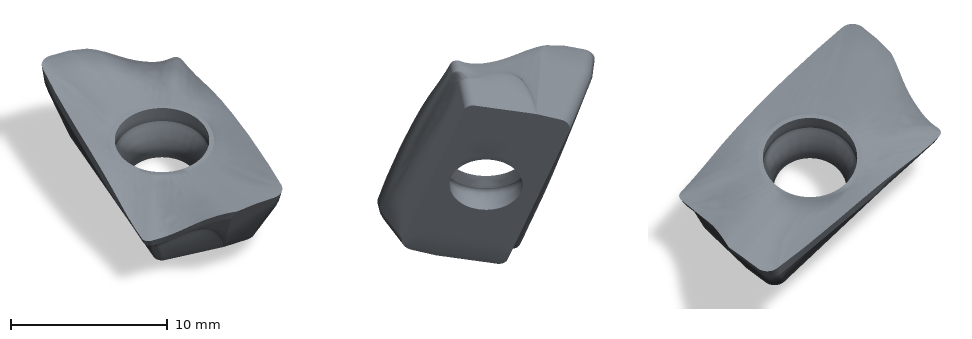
import cadquery as cq
import math

LENGTH = 18.18
WIDTH = 9.73
HEIGHT = 4.8
HALF_LENGTH = LENGTH / 2
HALF_WIDTH = WIDTH / 2

RING_RADIUS = 3.33
RING_Z = 3.64
BORE_RADIUS = 3.02
BORE_DEPTH = 1.13
HOLE_RADIUS = 2.33
HOLE_TOP_Z = 0.65

FLOOR_HALF_LENGTH = 7.22
FLOOR_HALF_WIDTH = 3.49
FLOOR_NOSE_Y = 2.6
FLOOR_NOSE_X = 6.42
FLOOR_HEEL_X = 6.2
FLOOR_HEEL_END = (6.73, -2.98)
CREASE_Y = 0.98
LONG_WALL_SLOPE = 0.29
SHORT_WALL_SLOPE = 0.25
NOSE_WALL_SLOPE = 0.39


def long_wall_point(x, z):
    """Point on the flat long wall at the -Y side."""
    return (x, -(FLOOR_HALF_WIDTH + LONG_WALL_SLOPE * z), z)


def short_wall_point(y, z):
    """Point on the flat relieved facet of the short wall at the +X side."""
    heel_x, heel_y = FLOOR_HEEL_END
    skew = (FLOOR_HALF_LENGTH - heel_x) / (CREASE_Y - heel_y)
    return (heel_x + skew * (y - heel_y) + SHORT_WALL_SLOPE * z, y, z)


def nose_wall_point(y, z):
    """Point on the flat facet of the short wall beside the nose."""
    return (FLOOR_HALF_LENGTH + NOSE_WALL_SLOPE * z, y, z)


def point_between(lower, upper, z):
    """Point at height z on the straight line from lower to upper."""
    fraction = (z - lower[2]) / (upper[2] - lower[2])
    return tuple(a + fraction * (b - a) for a, b in zip(lower, upper))


def turned(point):
    """The matching point after half a turn about Z."""
    x, y, z = point
    return (-x, -y, z)


def line(start, end):
    return cq.Edge.makeLine(cq.Vector(*start), cq.Vector(*end))


def curve(points):
    return cq.Edge.makeSpline([cq.Vector(*p) for p in points])


def corner(start, end, bulge):
    """Arc from start to end whose middle stands `bulge` off the chord, to the right."""
    a, b = cq.Vector(*start), cq.Vector(*end)
    chord = b - a
    outward = cq.Vector(chord.y, -chord.x, 0).normalized()
    middle = (a + b) * 0.5 + outward * bulge
    return cq.Edge.makeThreePointArc(a, middle, b)


def ring_point(degrees):
    angle = math.radians(degrees)
    return (RING_RADIUS * math.cos(angle), RING_RADIUS * math.sin(angle), RING_Z)


def ring_arc(start, end):
    points = [ring_point(a) for a in (start, (start + end) / 2, end)]
    return cq.Edge.makeThreePointArc(*[cq.Vector(*p) for p in points])


def ruled(lower, upper):
    return cq.Face.makeRuledSurface(lower, upper)


def sagged(lower, upper, depth):
    """Point sunk into the -Y side by depth, midway between lower and upper."""
    a, b = cq.Vector(*lower), cq.Vector(*upper)
    rise = b - a
    inward = cq.Vector(0, rise.z, -rise.y).normalized()
    return (a + b) * 0.5 + inward * depth


def hollow(edges, stops=()):
    """Smooth face inside the edges, passing through the stops."""
    return cq.Face.makeNSidedSurface(edges, stops)


def flat(edges):
    return cq.Face.makeFromWires(cq.Wire.assembleEdges(edges))


def half_turn(shape):
    return shape.rotate(cq.Vector(0, 0, 0), cq.Vector(0, 0, 1), 180)



rim_nose_start = (HALF_LENGTH, 3.64, HEIGHT)
rim_nose_end = (8.13, 4.56, HEIGHT)
rim_long = [
    turned(rim_nose_end),
    (-4.18, -4.8, 4.55),
    (0.0, -HALF_WIDTH, 4.2),
    (2.76, -4.85, 3.73),
    (5.49, -4.8, 3.04),
    (7.07, -4.75, 2.85),
]
rim_short = [
    (7.5, -4.24, 2.85),
    (7.55, -3.3, 2.85),
    (7.69, -2.4, 3.09),
    (8.02, -1.13, 3.65),
    (8.5, 0.0, 4.2),
    nose_wall_point(1.07, 4.5),
]
rim_facet_end = nose_wall_point(2.3, 4.75)

root_nose_start = nose_wall_point(3.55, 3.33)

land_nose_start = point_between(root_nose_start, rim_nose_start, 3.64)
land_nose_end = (7.87, 4.53, 3.65)
land_long = [
    turned(land_nose_end),
    (-4.18, -4.67, 3.49),
    (0.0, -4.75, 3.13),
    (2.73, -4.7, 2.76),
    (4.9, -4.62, 2.49),
    (6.82, -4.55, 2.24),
]
land_short = [
    (7.27, -4.09, 2.16),
    (7.29, -3.3, 2.18),
    (7.38, -2.58, 2.35),
    (7.64, -1.67, 2.8),
    (8.22, -0.1, 3.45),
    nose_wall_point(0.8, 3.8),
]

root_nose_end = turned(long_wall_point(-7.69, 2.98))
root_long = [
    turned(root_nose_end),
    long_wall_point(-3.95, 2.98),
    long_wall_point(0.0, 2.47),
    long_wall_point(3.04, 1.98),
    long_wall_point(4.9, 1.8),
    long_wall_point(6.58, 1.67),
]
root_short = [
    short_wall_point(-3.53, 1.89),
    short_wall_point(-2.58, 2.2),
    short_wall_point(-1.67, 2.53),
    short_wall_point(-0.93, 2.58),
    short_wall_point(-0.2, 2.35),
    short_wall_point(0.25, 1.78),
    short_wall_point(0.7, 0.87),
    short_wall_point(CREASE_Y, 0.0),
]

floor_nose_start = nose_wall_point(FLOOR_NOSE_Y, 0.0)
floor_nose_end = (FLOOR_NOSE_X, FLOOR_HALF_WIDTH, 0.0)
floor_heel_start = long_wall_point(FLOOR_HEEL_X, 0.0)
floor_heel_end = (*FLOOR_HEEL_END, 0.0)
floor_crease = root_short[-1]

RIM_NOSE_BULGE = 0.27
LAND_NOSE_BULGE = 0.25
ROOT_NOSE_BULGE = 0.24
FLOOR_NOSE_BULGE = 0.24
RIM_HEEL_BULGE = 0.15
LAND_HEEL_BULGE = 0.13
ROOT_HEEL_BULGE = 0.13
FLOOR_HEEL_BULGE = 0.13

floor = [
    line(turned(floor_nose_end), floor_heel_start),
    corner(floor_heel_start, floor_heel_end, FLOOR_HEEL_BULGE),
    line(floor_heel_end, floor_crease),
    corner(floor_nose_start, floor_nose_end, FLOOR_NOSE_BULGE),
]
root = [
    curve(root_long),
    corner(root_long[-1], root_short[0], ROOT_HEEL_BULGE),
    curve(root_short),
    corner(root_nose_start, root_nose_end, ROOT_NOSE_BULGE),
]
land = [
    curve(land_long),
    corner(land_long[-1], land_short[0], LAND_HEEL_BULGE),
    curve(land_short),
    corner(land_nose_start, land_nose_end, LAND_NOSE_BULGE),
]
rim = [
    curve(rim_long),
    corner(rim_long[-1], rim_short[0], RIM_HEEL_BULGE),
    curve(rim_short),
    corner(rim_nose_start, rim_nose_end, RIM_NOSE_BULGE),
]
rim_facet = line(rim_short[-1], rim_facet_end)
rim_nose_side = line(rim_facet_end, rim_nose_start)
floor_facet = line(floor_crease, floor_nose_start)

NOSE_END_ANGLE = 36.5
HEEL_ANGLES = (-37.0, -33.0)
CREASE_ANGLE = 10.0
FACET_ANGLE = 17.0
NOSE_START_ANGLE = 26.0

ring_stops = [
    NOSE_END_ANGLE - 180,
    *HEEL_ANGLES,
    CREASE_ANGLE,
    FACET_ANGLE,
    NOSE_START_ANGLE,
    NOSE_END_ANGLE,
]
ring = [ring_arc(a, b) for a, b in zip(ring_stops, ring_stops[1:])]
rim_all = rim[:3] + [rim_facet, rim_nose_side, rim[3]]

HOLLOW_DEPTH = 0.1
hollow_stops = [
    sagged(root_point, land_point, HOLLOW_DEPTH)
    for root_point, land_point in zip(root_long[2:-1], land_long[2:-1])
]
heel_sag = sagged(root_long[-1], land_long[-1], HOLLOW_DEPTH)
hollow_end = cq.Edge.makeThreePointArc(cq.Vector(*root_long[-1]), heel_sag, cq.Vector(*land_long[-1]))

faces = [ruled(outer, inner) for outer, inner in zip(rim_all, ring)]
faces += [ruled(lower, upper) for lower, upper in zip(land, rim)]
faces += [ruled(root[i], land[i]) for i in (2, 3)]
faces.append(hollow([
    root[0],
    hollow_end,
    land[0],
    line(root_long[0], land_long[0]),
], hollow_stops))
faces.append(hollow([
    root[1],
    line(root_short[0], land_short[0]),
    land[1],
    hollow_end,
]))
faces += [ruled(floor[i], root[i]) for i in (0, 1, 3)]
faces.append(flat([floor[2], root[2], line(floor_heel_end, root_short[0])]))

facet_diagonal = line(rim_facet_end, root_nose_start)
faces.append(flat([
    floor_facet,
    line(floor_nose_start, root_nose_start),
    facet_diagonal,
    rim_facet,
    line(rim_short[-1], land_short[-1]),
    line(land_short[-1], floor_crease),
]))
faces.append(flat([
    facet_diagonal,
    rim_nose_side,
    line(rim_nose_start, land_nose_start),
    line(land_nose_start, root_nose_start),
]))

faces += [half_turn(f) for f in faces]
floor_edges = floor[:3] + [floor_facet, floor[3]]
floor_wire = cq.Wire.assembleEdges(floor_edges + [half_turn(e) for e in floor_edges])
ring_wire = cq.Wire.assembleEdges(ring + [half_turn(e) for e in ring])
faces += [cq.Face.makeFromWires(floor_wire), cq.Face.makeFromWires(ring_wire)]

body = cq.Solid.makeSolid(cq.Shell.makeShell(faces)).fix()

bore_bottom = RING_Z - BORE_DEPTH
seat_depth = bore_bottom - HOLE_TOP_Z
seat_inset = BORE_RADIUS - HOLE_RADIUS
seat_radius = (seat_inset**2 + seat_depth**2) / (2 * seat_inset)
seat_half_angle = math.asin(seat_depth / seat_radius) / 2
seat_middle = (
    HOLE_RADIUS + seat_radius * (1 - math.cos(seat_half_angle)),
    HOLE_TOP_Z + seat_radius * math.sin(seat_half_angle),
)
hole = (
    cq.Workplane("XZ")
    .lineTo(HOLE_RADIUS, 0)
    .lineTo(HOLE_RADIUS, HOLE_TOP_Z)
    .threePointArc(seat_middle, (BORE_RADIUS, bore_bottom))
    .lineTo(BORE_RADIUS, RING_Z)
    .lineTo(0, RING_Z)
    .close()
    .revolve(360, (0, 0, 0), (0, 1, 0))
)

result = cq.Workplane(body).cut(hole).solids()